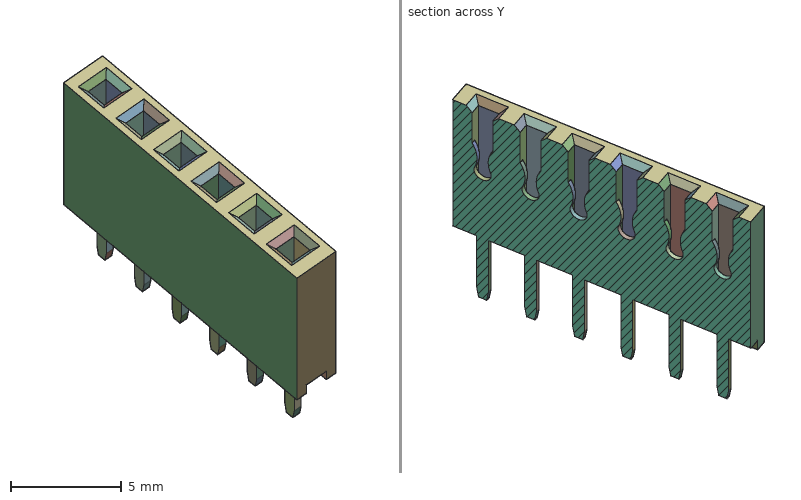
import cadquery as cq
import math

length = 15.75
depth = 2.4
height = 8.5

pin_count = 6
pitch = 2.54
row_offset = -0.05

socket_width = 1.09
mouth_width = 1.72
funnel_depth = 0.32

channel_width = 1.21
channel_height = 0.58

contact_thickness = 0.43
tail_width = 0.65
tail_tip_width = 0.44
tail_length = 3.2
taper_length = 0.57

fork_top = 6.3
throat_half_width = 0.28
bulge_radius = 1.5
fork_bottom_radius = 0.44


def make_housing():
    bar = cq.Workplane("XY").box(length, depth, height, centered=(True, True, False))
    channel = cq.Workplane("XY").box(length, channel_width, channel_height, centered=(True, True, False))
    return bar.cut(channel)


def make_socket(x):
    """Square shaft through the housing plus the tapered funnel at its mouth."""
    shaft = cq.Workplane("XY").center(x, 0).rect(socket_width, socket_width).extrude(height)
    funnel = (
        cq.Workplane("XY", origin=(x, 0, height - funnel_depth))
        .rect(socket_width, socket_width)
        .workplane(offset=funnel_depth)
        .rect(mouth_width, mouth_width)
        .loft(ruled=True)
    )
    return shaft.union(funnel)


def make_contact(x):
    """Flat stamped contact: a two-tined fork spanning the socket above a tapered tail."""
    half_socket = socket_width / 2
    half_tail = tail_width / 2
    half_tip = tail_tip_width / 2
    tail_end = -tail_length

    bulge_center_x = throat_half_width + bulge_radius
    throat_z = fork_top - math.sqrt(bulge_radius**2 - (bulge_center_x - half_socket) ** 2)

    center_distance = bulge_radius + fork_bottom_radius
    round_center_z = throat_z - math.sqrt(center_distance**2 - bulge_center_x**2)
    tangent_x = fork_bottom_radius * bulge_center_x / center_distance
    tangent_z = round_center_z + fork_bottom_radius * (throat_z - round_center_z) / center_distance

    return (
        cq.Workplane("XZ", origin=(x, 0, 0))
        .moveTo(-half_tip, tail_end)
        .lineTo(half_tip, tail_end)
        .lineTo(half_tail, tail_end + taper_length)
        .lineTo(half_tail, channel_height)
        .lineTo(half_socket, channel_height)
        .lineTo(half_socket, fork_top)
        .threePointArc((throat_half_width, throat_z), (tangent_x, tangent_z))
        .threePointArc((0, round_center_z - fork_bottom_radius), (-tangent_x, tangent_z))
        .threePointArc((-throat_half_width, throat_z), (-half_socket, fork_top))
        .lineTo(-half_socket, channel_height)
        .lineTo(-half_tail, channel_height)
        .lineTo(-half_tail, tail_end + taper_length)
        .close()
        .extrude(contact_thickness / 2, both=True)
    )


pin_positions = [row_offset + (i - (pin_count - 1) / 2) * pitch for i in range(pin_count)]

result = make_housing()
for pin_x in pin_positions:
    result = result.cut(make_socket(pin_x))
for pin_x in pin_positions:
    result = result.union(make_contact(pin_x))